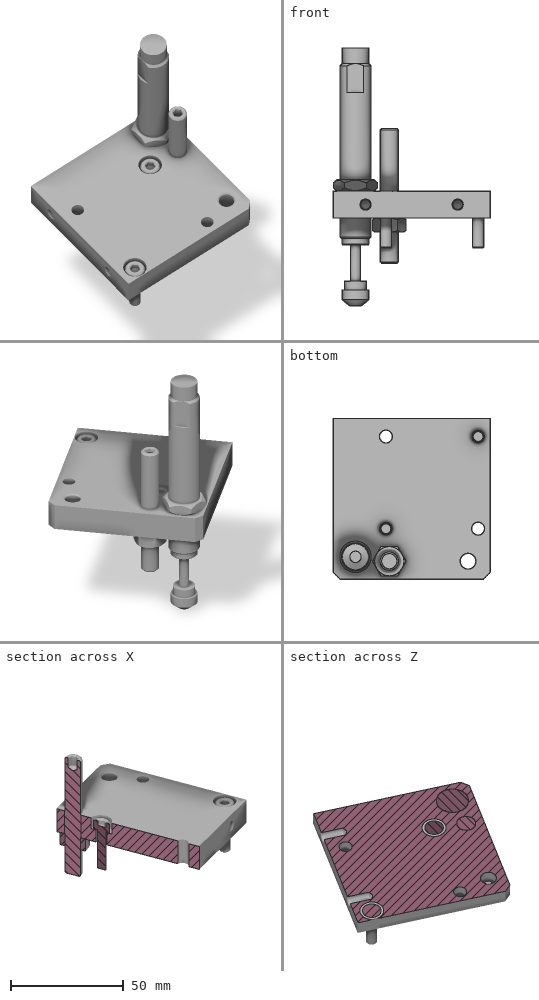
import cadquery as cq
import math


PLATE_WIDTH = 70.0
PLATE_DEPTH = 71.5
PLATE_THICKNESS = 12.0
CORNER_CHAMFER = 3.2

ABSORBER_X = 10.0
ABSORBER_Y = PLATE_DEPTH - ABSORBER_X
ABSORBER_TOP = 75.7
CAP_DIAMETER = 11.9
CAP_HEIGHT = 7.0
BARREL_DIAMETER = 14.0
BARREL_TOP = ABSORBER_TOP - CAP_HEIGHT
BARREL_BOTTOM = -9.1
BARREL_BOTTOM_CHAMFER = 0.8
FLATS_BOTTOM = 55.9
COLLAR_DIAMETER = 12.0
COLLAR_BOTTOM = -11.9
COLLAR_CHAMFER = 0.3
ROD_DIAMETER = 4.5
ROD_BOTTOM = -28.0
HOLDER_DIAMETER = 9.9
HOLDER_HEIGHT = 3.9
BUFFER_DIAMETER = 11.9
BUFFER_TIP_DIAMETER = 5.0
BUFFER_CONE_HEIGHT = 2.8
ABSORBER_BOTTOM = -39.0

LOCK_NUT_FLATS = 17.1
LOCK_NUT_HEIGHT = 5.0
LOCK_NUT_FACE_DIAMETER = 16.6
LOCK_NUT_CORNER_DROP = 1.5

STOP_X = 25.0
STOP_Y = 63.4
STOP_DIAMETER = 8.1
STOP_TOP = 39.9
STOP_LENGTH = 60.0
STOP_CHAMFER = 0.7
STOP_SOCKET_DEPTH = 5.0

STOP_NUT_FLATS = 13.0
STOP_NUT_HEIGHT = 6.2
STOP_NUT_CORNER_DROP = 0.8

SOCKET_FLATS = 4.0
SOCKET_RIM_DIAMETER = 5.0
SOCKET_TURN = 45.0

DRILL_POINT_ANGLE = 118.0

SPARE_HOLE_X = 60.0
SPARE_HOLE_DIAMETER = 6.9
SPARE_HOLE_CHAMFER = 0.6

MOUNT_PITCH = 41.0
MOUNT_LEFT = 23.5
MOUNT_FRONT = 8.0
MOUNT_RIGHT = MOUNT_LEFT + MOUNT_PITCH
MOUNT_BACK = MOUNT_FRONT + MOUNT_PITCH
SCREW_POINTS = [(MOUNT_LEFT, MOUNT_BACK), (MOUNT_RIGHT, MOUNT_FRONT)]
OPEN_POINTS = [(MOUNT_LEFT, MOUNT_FRONT), (MOUNT_RIGHT, MOUNT_BACK)]
MOUNT_HOLE_DIAMETER = 5.6
COUNTERBORE_DIAMETER = 10.4
COUNTERBORE_DEPTH = 5.5
SEAT_HEIGHT = PLATE_THICKNESS - COUNTERBORE_DEPTH

HEAD_DIAMETER = 8.5
HEAD_HEIGHT = 5.0
HEAD_CHAMFER = 0.6
SHANK_DIAMETER = 5.0
SHANK_BOTTOM = -13.2
SHANK_CHAMFER = 0.3
CAP_SOCKET_DEPTH = 2.5

SIDE_HOLE_LEFT = 14.5
SIDE_HOLE_PITCH = MOUNT_PITCH
SIDE_HOLE_Z = PLATE_THICKNESS / 2
SIDE_HOLE_DIAMETER = 4.2
SIDE_HOLE_DEPTH = 10.0
SIDE_HOLE_CHAMFER = 0.3


def across_corners(flats):
    """Corner-to-corner size of a hexagon with the given size across flats."""
    return flats / math.cos(math.radians(30))


def turned(points):
    """Turn an (r, z) half outline about the Z axis."""
    return cq.Workplane("XZ").polyline(points).close().revolve(360, (0, 0, 0), (0, 1, 0))


def disc(diameter, height, bottom=0.0):
    return cq.Workplane("XY").workplane(offset=bottom).circle(diameter / 2).extrude(height)


def drill_point_tool(diameter, depth):
    """Cone left by a drill, pointing down from z = -depth."""
    radius = diameter / 2
    point_height = radius / math.tan(math.radians(DRILL_POINT_ANGLE / 2))
    return turned([(0, -depth), (radius, -depth), (0, -depth - point_height)])


def chamfered_hole_tool(diameter, depth, chamfer):
    """Cutter going down from z = 0, wider by the chamfer at its mouth."""
    radius = diameter / 2
    return turned([(0, 0), (radius + chamfer, 0), (radius, -chamfer), (radius, -depth), (0, -depth)])


def socket_tool(depth, pointed):
    """Hexagon socket going down from z = 0, with a 45 degree rim and an optional drill point."""
    corners = across_corners(SOCKET_FLATS)
    tool = cq.Workplane("XY").polygon(6, corners).extrude(-depth).rotate((0, 0, 0), (0, 0, 1), SOCKET_TURN)
    rim_radius = SOCKET_RIM_DIAMETER / 2
    tool = tool.union(turned([(0, 0), (rim_radius, 0), (0, -rim_radius)]))
    if pointed:
        tool = tool.union(drill_point_tool(SOCKET_FLATS, depth))
    return tool


def make_hex_nut(flats, height, bore, face_diameter, corner_drop):
    """Hexagon nut standing on z = 0, its corners cut by a cone at both ends."""
    corners = across_corners(flats)
    blank = cq.Workplane("XY").polygon(6, corners).extrude(height)
    face_radius = face_diameter / 2
    corner_radius = corners / 2
    envelope = turned([
        (0, 0),
        (face_radius, 0),
        (corner_radius, corner_drop),
        (corner_radius, height - corner_drop),
        (face_radius, height),
        (0, height),
    ])
    return blank.intersect(envelope).cut(disc(bore, height))


def make_plate():
    plate = cq.Workplane("XY").box(PLATE_WIDTH, PLATE_DEPTH, PLATE_THICKNESS, centered=False)
    plate = plate.edges("|Z and >Y").chamfer(CORNER_CHAMFER)

    plate = plate.cut(disc(BARREL_DIAMETER, PLATE_THICKNESS).translate((ABSORBER_X, ABSORBER_Y, 0)))
    plate = plate.cut(disc(STOP_DIAMETER, PLATE_THICKNESS).translate((STOP_X, STOP_Y, 0)))

    spare = chamfered_hole_tool(SPARE_HOLE_DIAMETER, PLATE_THICKNESS, SPARE_HOLE_CHAMFER)
    plate = plate.cut(spare.translate((SPARE_HOLE_X, STOP_Y, PLATE_THICKNESS)))

    mount_hole = disc(MOUNT_HOLE_DIAMETER, PLATE_THICKNESS)
    for x, y in SCREW_POINTS + OPEN_POINTS:
        plate = plate.cut(mount_hole.translate((x, y, 0)))
    counterbore = disc(COUNTERBORE_DIAMETER, COUNTERBORE_DEPTH, SEAT_HEIGHT)
    for x, y in SCREW_POINTS:
        plate = plate.cut(counterbore.translate((x, y, 0)))

    side_hole = chamfered_hole_tool(SIDE_HOLE_DIAMETER, SIDE_HOLE_DEPTH, SIDE_HOLE_CHAMFER)
    side_hole = side_hole.union(drill_point_tool(SIDE_HOLE_DIAMETER, SIDE_HOLE_DEPTH))
    side_hole = side_hole.rotate((0, 0, 0), (1, 0, 0), 90)
    for x in (SIDE_HOLE_LEFT, SIDE_HOLE_LEFT + SIDE_HOLE_PITCH):
        plate = plate.cut(side_hole.translate((x, 0, SIDE_HOLE_Z)))
    return plate


def make_absorber():
    cap_radius = CAP_DIAMETER / 2
    barrel_radius = BARREL_DIAMETER / 2
    collar_radius = COLLAR_DIAMETER / 2
    rod_radius = ROD_DIAMETER / 2
    top_chamfer = barrel_radius - cap_radius
    holder_bottom = ROD_BOTTOM - HOLDER_HEIGHT
    absorber = turned([
        (0, ABSORBER_TOP),
        (cap_radius, ABSORBER_TOP),
        (cap_radius, BARREL_TOP),
        (barrel_radius, BARREL_TOP - top_chamfer),
        (barrel_radius, BARREL_BOTTOM + BARREL_BOTTOM_CHAMFER),
        (barrel_radius - BARREL_BOTTOM_CHAMFER, BARREL_BOTTOM),
        (collar_radius, BARREL_BOTTOM),
        (collar_radius, COLLAR_BOTTOM + COLLAR_CHAMFER),
        (collar_radius - COLLAR_CHAMFER, COLLAR_BOTTOM),
        (rod_radius, COLLAR_BOTTOM),
        (rod_radius, ROD_BOTTOM),
        (HOLDER_DIAMETER / 2, ROD_BOTTOM),
        (HOLDER_DIAMETER / 2, holder_bottom),
        (BUFFER_DIAMETER / 2, holder_bottom),
        (BUFFER_DIAMETER / 2, ABSORBER_BOTTOM + BUFFER_CONE_HEIGHT),
        (BUFFER_TIP_DIAMETER / 2, ABSORBER_BOTTOM),
        (0, ABSORBER_BOTTOM),
    ])
    flat = cq.Workplane("XY").box(
        BARREL_DIAMETER, CAP_DIAMETER, BARREL_TOP - FLATS_BOTTOM, centered=(True, True, False)
    )
    for side in (-1, 1):
        absorber = absorber.cut(flat.translate((0, side * CAP_DIAMETER, FLATS_BOTTOM)))
    return absorber.translate((ABSORBER_X, ABSORBER_Y, 0))


def make_stop_screw():
    screw = disc(STOP_DIAMETER, STOP_LENGTH, STOP_TOP - STOP_LENGTH)
    screw = screw.faces("<Z or >Z").chamfer(STOP_CHAMFER)
    screw = screw.cut(socket_tool(STOP_SOCKET_DEPTH, pointed=True).translate((0, 0, STOP_TOP)))
    return screw.translate((STOP_X, STOP_Y, 0))


def make_cap_screw():
    """Socket head cap screw on the Z axis, its head resting in the counterbore."""
    head_top = SEAT_HEIGHT + HEAD_HEIGHT
    head = disc(HEAD_DIAMETER, HEAD_HEIGHT, SEAT_HEIGHT).faces(">Z").chamfer(HEAD_CHAMFER)
    shank = disc(SHANK_DIAMETER, SEAT_HEIGHT - SHANK_BOTTOM, SHANK_BOTTOM).faces("<Z").chamfer(SHANK_CHAMFER)
    socket = socket_tool(CAP_SOCKET_DEPTH, pointed=False).translate((0, 0, head_top))
    return head.union(shank).cut(socket)


plate = make_plate()
absorber = make_absorber()
lock_nut = make_hex_nut(
    LOCK_NUT_FLATS, LOCK_NUT_HEIGHT, BARREL_DIAMETER, LOCK_NUT_FACE_DIAMETER, LOCK_NUT_CORNER_DROP
).translate((ABSORBER_X, ABSORBER_Y, PLATE_THICKNESS))
stop_screw = make_stop_screw()
stop_nut = make_hex_nut(
    STOP_NUT_FLATS, STOP_NUT_HEIGHT, STOP_DIAMETER, STOP_NUT_FLATS, STOP_NUT_CORNER_DROP
).translate((STOP_X, STOP_Y, -STOP_NUT_HEIGHT))
cap_screws = [make_cap_screw().translate((x, y, 0)) for x, y in SCREW_POINTS]

result = cq.Compound.makeCompound([
    plate.val(),
    absorber.val(),
    lock_nut.val(),
    stop_screw.val(),
    stop_nut.val(),
    *[screw.val() for screw in cap_screws],
])